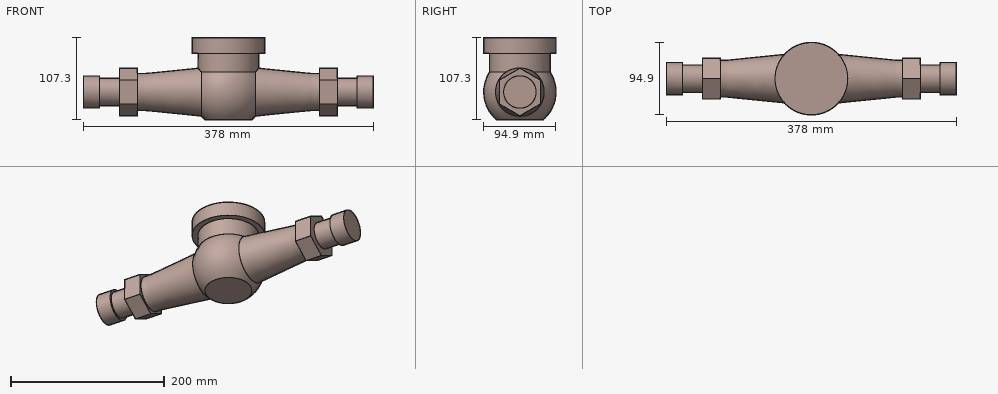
import cadquery as cq
import math

half_length = 189.0

body_radius = 47.45
body_bottom = -36.3
neck_radius = 39.7
cap_radius = body_radius
cap_bottom = 50.3
cap_top = 71.0

taper_large_radius = 31.8
taper_small_radius = 24.2
taper_end = 110.0

nut_inner_end = 118.7
nut_outer_end = 142.0
nut_across_flats = 53.5
nut_across_corners = nut_across_flats / math.cos(math.pi / 6)

stub_radius = 18.0
ring_radius = 21.0
ring_length = 21.0


def make_body():
    """Sphere with a flat underside, carrying an upright neck and a cap."""
    box_side = 2 * body_radius
    keep_box = cq.Workplane("XY").workplane(offset=body_bottom).rect(box_side, box_side).extrude(box_side)
    ball = cq.Workplane("XY").sphere(body_radius).intersect(keep_box)
    neck = cq.Workplane("XY").circle(neck_radius).extrude(cap_bottom)
    cap = cq.Workplane("XY").workplane(offset=cap_bottom).circle(cap_radius).extrude(cap_top - cap_bottom)
    return ball.union(neck).union(cap)


def make_arm():
    """Arm on the +X side: taper, collar, stub and end ring, with a hexagonal nut."""
    taper_start = math.sqrt(body_radius**2 - taper_large_radius**2)
    ring_start = half_length - ring_length
    profile = [
        (0, 0),
        (0, taper_large_radius),
        (taper_start, taper_large_radius),
        (taper_end, taper_small_radius),
        (nut_outer_end, taper_small_radius),
        (nut_outer_end, stub_radius),
        (ring_start, stub_radius),
        (ring_start, ring_radius),
        (half_length, ring_radius),
        (half_length, 0),
    ]
    turned = cq.Workplane("XY").polyline(profile).close().revolve(360, (0, 0, 0), (1, 0, 0))
    nut = (
        cq.Workplane("YZ")
        .workplane(offset=nut_inner_end)
        .transformed(rotate=(0, 0, 90))
        .polygon(6, nut_across_corners)
        .extrude(nut_outer_end - nut_inner_end)
    )
    return turned.union(nut)


arm = make_arm()
result = make_body().union(arm).union(arm.mirror("YZ"))